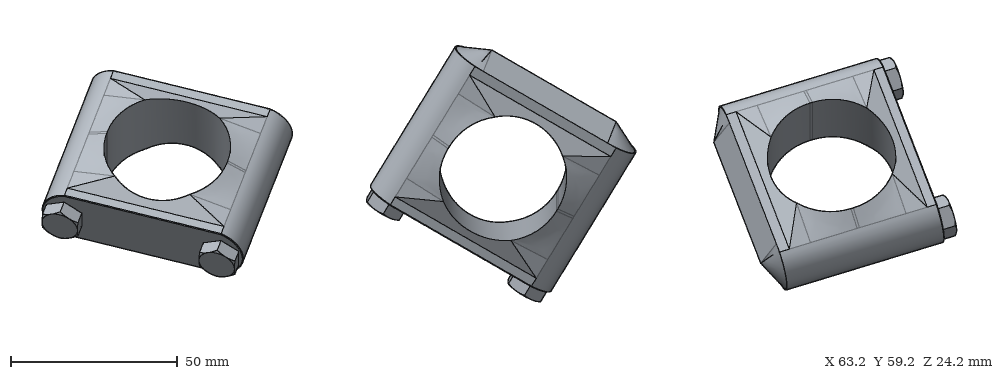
import cadquery as cq
import math

body_length = 63.2
body_thickness = 18.95
body_half_depth = 24.95
end_radius = 9.9
edge_chamfer = 0.25

roof_tip_y = 29.95
roof_base_radius = body_thickness / 2
roof_height = roof_tip_y - body_half_depth

hole_radius = 18.9
hole_center_offset = 0.4

total_thickness = 24.15
rim_base_half_depth = 21.85
rim_top_half_depth = 15.15

bolt_spacing = 49.3
head_across_flats = 11.1
head_height = 4.35
head_chamfer_angle = 30.0

half_thickness = body_thickness / 2
half_total = total_thickness / 2
end_center_x = body_length / 2 - end_radius
flat_half_length = end_center_x + math.sqrt(end_radius**2 - half_thickness**2)


def make_slab():
    """Slab with round ends, chamfered along the front edge."""
    slab = (
        cq.Workplane("XZ", origin=(0, body_half_depth, 0))
        .moveTo(-flat_half_length, half_thickness)
        .lineTo(flat_half_length, half_thickness)
        .threePointArc((body_length / 2, 0), (flat_half_length, -half_thickness))
        .lineTo(-flat_half_length, -half_thickness)
        .threePointArc((-body_length / 2, 0), (-flat_half_length, half_thickness))
        .close()
        .extrude(2 * body_half_depth)
    )
    return slab.faces("<Y").chamfer(edge_chamfer)


def make_roof():
    """Ridge along X, ending in a half cone at each end."""
    ridge = (
        cq.Workplane("YZ", origin=(-end_center_x, 0, 0))
        .polyline([
            (body_half_depth, -roof_base_radius),
            (roof_tip_y, 0),
            (body_half_depth, roof_base_radius),
        ])
        .close()
        .extrude(2 * end_center_x)
    )
    for x in (-end_center_x, end_center_x):
        cone = cq.Solid.makeCone(
            roof_base_radius, 0, roof_height, cq.Vector(x, body_half_depth, 0), cq.Vector(0, 1, 0)
        )
        ridge = ridge.union(cq.Workplane(cone))
    return ridge


def make_rim_quarter():
    """Quarter of the top rim at -X, -Y, with the pipe hole still filled."""
    arc_angle = math.asin((rim_top_half_depth - hole_center_offset) / hole_radius)

    def on_arc(angle):
        x = -hole_radius * math.cos(angle)
        y = -hole_center_offset - hole_radius * math.sin(angle)
        return cq.Vector(x, y, half_total)

    arc_front = on_arc(arc_angle)
    arc_middle = on_arc(arc_angle / 2)
    arc_side = on_arc(0)
    side_top = cq.Vector(-hole_radius, 0, half_total)
    center_top = cq.Vector(0, 0, half_total)
    front_top = cq.Vector(0, -rim_top_half_depth, half_total)

    corner = cq.Vector(-flat_half_length, -rim_base_half_depth, half_thickness)
    side_front = cq.Vector(-flat_half_length, -rim_top_half_depth, half_thickness)
    side_split = cq.Vector(-flat_half_length, -hole_center_offset, half_thickness)
    side_base = cq.Vector(-flat_half_length, 0, half_thickness)
    center_base = cq.Vector(0, 0, half_thickness)
    front_base = cq.Vector(0, -rim_base_half_depth, half_thickness)

    hole_arc = cq.Edge.makeThreePointArc(arc_front, arc_middle, arc_side)
    top_lines = cq.Wire.makePolygon([arc_side, side_top, center_top, front_top, arc_front])
    top_outline = cq.Wire.assembleEdges([hole_arc] + top_lines.Edges())
    side_edge = cq.Edge.makeLine(side_front, side_split)

    flat_outlines = [
        [corner, front_base, front_top, arc_front],
        [corner, arc_front, side_front],
        [side_split, arc_side, side_top, side_base],
        [front_base, front_top, center_top, center_base],
        [side_base, side_top, center_top, center_base],
        [corner, front_base, center_base, side_base, side_split, side_front],
    ]
    faces = [
        cq.Face.makeFromWires(cq.Wire.makePolygon(outline, close=True)) for outline in flat_outlines
    ]
    faces.append(cq.Face.makeFromWires(top_outline))
    faces.append(cq.Face.makeRuledSurface(side_edge, hole_arc))
    return cq.Workplane(cq.Solid.makeSolid(cq.Shell.makeShell(faces)).fix())


def make_rims():
    """Rims on both slab faces, mirrored from one quarter."""
    rims = make_rim_quarter()
    for plane in ("YZ", "XZ", "XY"):
        rims = rims.union(rims.mirror(plane))
    return rims


def make_pipe_hole():
    """Through cutter: two half rounds joined by short straight sides."""
    straight = 2 * hole_center_offset
    return (
        cq.Workplane("XY", origin=(0, 0, -half_total))
        .slot2D(2 * hole_radius + straight, 2 * hole_radius, 90)
        .extrude(total_thickness)
    )


def make_bolt_head(x):
    """Hexagonal head with corners in Z and a conical chamfer on its outer end."""
    across_corners = head_across_flats / math.cos(math.radians(30))
    head = (
        cq.Workplane("XZ", origin=(x, -body_half_depth, 0))
        .transformed(rotate=(0, 0, 90))
        .polygon(6, across_corners)
        .extrude(head_height)
    )
    chamfer_slope = math.tan(math.radians(head_chamfer_angle))
    base_radius = head_across_flats / 2 + head_height / chamfer_slope
    cone = cq.Solid.makeCone(
        base_radius,
        head_across_flats / 2,
        head_height,
        cq.Vector(x, -body_half_depth, 0),
        cq.Vector(0, -1, 0),
    )
    return head.intersect(cq.Workplane(cone))


result = make_slab().union(make_roof()).union(make_rims()).cut(make_pipe_hole())
for bolt_x in (-bolt_spacing / 2, bolt_spacing / 2):
    result = result.union(make_bolt_head(bolt_x))